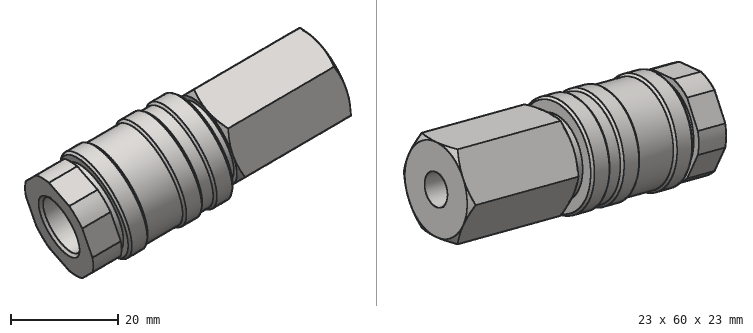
import cadquery as cq
import math


CORNERS_PER_FLATS = 1 / math.cos(math.radians(30))

length = 60.0
nut_end = 6.5
sleeve_start = 8.0
sleeve_end = 32.0
hex_start = 34.0

nut_diameter = 22.0
nut_flats = 21.0

sleeve_diameter = 22.0
ring_diameter = 23.0
ring_width = 4.5
ring_chamfer = 0.5
middle_ring_start = 20.5
ring_starts = (sleeve_start, middle_ring_start, sleeve_end - ring_width)

front_neck_diameter = 19.0
rear_neck_diameter = 17.1

hex_flats = 19.0
hex_corners = hex_flats * CORNERS_PER_FLATS
hex_cone_angle = math.radians(30)
hex_cone_depth = (hex_corners - hex_flats) / 2 * math.tan(hex_cone_angle)

through_diameter = 7.0
plug_bore_diameter = 12.0
plug_bore_depth = 22.0
plug_bore_chamfer = 0.6


def section_plane(y):
    """Plane across the axis at station y, with its normal along +Y."""
    return cq.Workplane(cq.Plane(origin=(0, y, 0), xDir=(1, 0, 0), normal=(0, 1, 0)))


def cylinder(diameter, start, end):
    return section_plane(start).circle(diameter / 2).extrude(end - start)


def hexagon(across_flats, start, end):
    """Hexagonal bar with two of its flats facing +Z and -Z."""
    return section_plane(start).polygon(6, across_flats * CORNERS_PER_FLATS).extrude(end - start)


def front_nut():
    return cylinder(nut_diameter, 0, nut_end).intersect(hexagon(nut_flats, 0, nut_end))


def sleeve():
    body = cylinder(sleeve_diameter, sleeve_start, sleeve_end)
    for start in ring_starts:
        ring = cylinder(ring_diameter, start, start + ring_width)
        body = body.union(ring.edges("%CIRCLE").chamfer(ring_chamfer))
    return body


def rear_hex():
    """Hexagonal bar trimmed by a turned envelope with conical ends."""
    flat_radius = hex_flats / 2
    corner_radius = hex_corners / 2
    envelope = (
        cq.Workplane("XY")
        .moveTo(0, hex_start)
        .lineTo(flat_radius, hex_start)
        .lineTo(corner_radius, hex_start + hex_cone_depth)
        .lineTo(corner_radius, length - hex_cone_depth)
        .lineTo(flat_radius, length)
        .lineTo(0, length)
        .close()
        .revolve(360, (0, 0, 0), (0, 1, 0))
    )
    return hexagon(hex_flats, hex_start, length).intersect(envelope)


def bore():
    """Through passage opening into a wider plug bore with a chamfered mouth."""
    plug_radius = plug_bore_diameter / 2
    plug_bore = (
        cq.Workplane("XY")
        .moveTo(0, 0)
        .lineTo(plug_radius + plug_bore_chamfer, 0)
        .lineTo(plug_radius, plug_bore_chamfer)
        .lineTo(plug_radius, plug_bore_depth)
        .lineTo(0, plug_bore_depth)
        .close()
        .revolve(360, (0, 0, 0), (0, 1, 0))
    )
    return plug_bore.union(cylinder(through_diameter, 0, length))


front_neck = cylinder(front_neck_diameter, nut_end, sleeve_start)
rear_neck = cylinder(rear_neck_diameter, sleeve_end, hex_start)

outside = front_nut().union(front_neck).union(sleeve()).union(rear_neck).union(rear_hex())
result = outside.cut(bore())